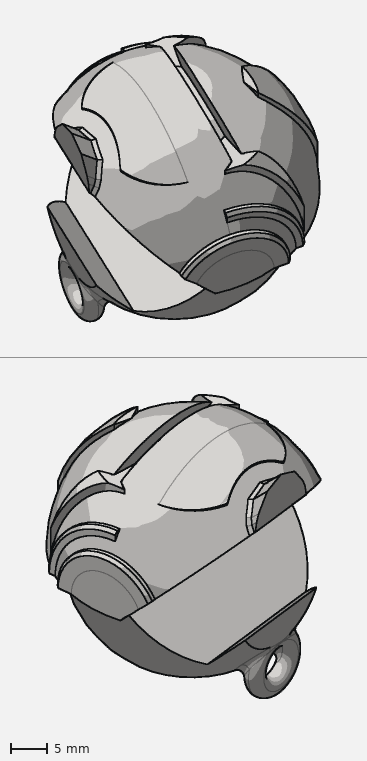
import cadquery as cq
import math

HELMET_RADIUS = 20.0
BALL_RADIUS = 18.0
EAR_RADIUS = 21.0
CREST_RADIUS = 20.75
FRONT_PLANE_Y = -15.53

BAND_FLOOR_Z = 16.0
BAND_REAR_MIDDLE = (0, 3.96)
BAND_REAR_END = (10.87, 5.06)
BAND_FRONT_MIDDLE = (0, 2.26)
BAND_FRONT_END = (11.52, 3.32)
EAR_FRONT_TIP = (12.74, 1.7)
EAR_OUTER_MIDDLE = (13.55, 7.8)
EAR_INNER_MIDDLE = (12.82, 9.85)
EAR_REAR_TIP_Y = 12.3
EAR_REAR_TIP_RADIUS = 19.95

CREST_TOP_Z = 17.0
CREST_TIP_Y = 10.55
CREST_SHOULDER = (2.64, 11.5)
CREST_SIDE_MIDDLE = (3.87, 14.26)
CREST_REAR_HALF_WIDTH = 5.2

DISC_RADIUS = 8.9
DISC_FACE_X = 19.03
RING_RADIUS = 12.0
RING_FACE_X = 17.04
RIM_CHAMFER = 0.5

VISOR_RADIUS = 19.9
VISOR_SHIFT_Y = -0.6
VISOR_BASE_Z = 12.0
VISOR_REAR = (12.2, -1.5)
VISOR_SIDE_MIDDLE = (10.3, -7.8)
VISOR_CORNER = (6.2, -11.1)
VISOR_FRONT_MIDDLE = (0, -9.8)
VISOR_CORNER_FILLET = 0.6

LEAN_ANGLE = 45.0
SNOUT_RADIUS = 6.05
SNOUT_SIDES = 12
SNOUT_OFFSET = -3.57
SNOUT_START = 14.0
SNOUT_END = 28.0
SNOUT_CHAMFER = 0.5

MOUTH_WIDTH = 12.0
MOUTH_CORNER_Y = -2.85
MOUTH_CORNER_Z = -0.2

LOOP_TUBE_RADIUS = 1.5
LOOP_RING_RADIUS = 3.85
LOOP_BOTTOM_Z = -18.49
LOOP_CENTER_Y = FRONT_PLANE_Y + LOOP_TUBE_RADIUS
LOOP_FILLET = 1.0

OVERSIZE = 60.0


def mirrored(point):
    """The same plan point on the -X side."""
    return (-point[0], point[1])


def ball(radius):
    return cq.Workplane("XY").sphere(radius)


def upper_half(body):
    """Keep what lies above Z = 0."""
    limit = cq.Workplane("XY").box(OVERSIZE, OVERSIZE, OVERSIZE, centered=(True, True, False))
    return body.intersect(limit)


def band_outline(base_z):
    """Plan outline of the headband with an ear ridge at both ends."""
    rear_tip = (math.sqrt(EAR_REAR_TIP_RADIUS**2 - EAR_REAR_TIP_Y**2), EAR_REAR_TIP_Y)
    return (
        cq.Workplane("XY", origin=(0, 0, base_z))
        .moveTo(*mirrored(BAND_REAR_END))
        .threePointArc(BAND_REAR_MIDDLE, BAND_REAR_END)
        .threePointArc(EAR_INNER_MIDDLE, rear_tip)
        .threePointArc(EAR_OUTER_MIDDLE, EAR_FRONT_TIP)
        .lineTo(*BAND_FRONT_END)
        .threePointArc(BAND_FRONT_MIDDLE, mirrored(BAND_FRONT_END))
        .lineTo(*mirrored(EAR_FRONT_TIP))
        .threePointArc(mirrored(EAR_OUTER_MIDDLE), mirrored(rear_tip))
        .threePointArc(mirrored(EAR_INNER_MIDDLE), mirrored(BAND_REAR_END))
        .close()
    )


def crest():
    """Raised tapering crest running down the back of the helmet."""
    rear = (CREST_REAR_HALF_WIDTH, HELMET_RADIUS)
    prism = (
        cq.Workplane("XY")
        .moveTo(0, CREST_TIP_Y)
        .lineTo(*CREST_SHOULDER)
        .threePointArc(CREST_SIDE_MIDDLE, rear)
        .lineTo(*mirrored(rear))
        .threePointArc(mirrored(CREST_SIDE_MIDDLE), mirrored(CREST_SHOULDER))
        .close()
        .extrude(CREST_TOP_Z)
    )
    helmet_outline = cq.Workplane("XY").circle(HELMET_RADIUS).extrude(CREST_TOP_Z)
    return prism.intersect(helmet_outline).intersect(ball(CREST_RADIUS))


def side_disc(radius, face_x):
    """Disc through the head along X, chamfered at both flat faces."""
    return (
        cq.Workplane("YZ")
        .circle(radius)
        .extrude(face_x, both=True)
        .faces("<X or >X")
        .chamfer(RIM_CHAMFER)
    )


def quarter_ring():
    """Rear upper quarter of the ring disc."""
    quarter = cq.Workplane("XY").box(OVERSIZE, OVERSIZE, OVERSIZE, centered=(True, False, False))
    return side_disc(RING_RADIUS, RING_FACE_X).intersect(quarter)


def visor():
    """Forehead patch on a ball shifted forward, so its step fades out towards the rear."""
    prism = (
        cq.Workplane("XY", origin=(0, 0, VISOR_BASE_Z))
        .moveTo(*VISOR_REAR)
        .threePointArc(VISOR_SIDE_MIDDLE, VISOR_CORNER)
        .threePointArc(VISOR_FRONT_MIDDLE, mirrored(VISOR_CORNER))
        .threePointArc(mirrored(VISOR_SIDE_MIDDLE), mirrored(VISOR_REAR))
        .close()
        .extrude(OVERSIZE)
        .edges("|Z and <Y")
        .fillet(VISOR_CORNER_FILLET)
    )
    return prism.intersect(ball(VISOR_RADIUS).translate((0, VISOR_SHIFT_Y, 0)))


def helmet_with_snout():
    """Helmet hemisphere with the leaning snout, chamfered where they meet."""
    snout = (
        cq.Workplane("XY")
        .center(0, SNOUT_OFFSET)
        .polygon(SNOUT_SIDES, 2 * SNOUT_RADIUS)
        .extrude(SNOUT_END - SNOUT_START)
        .translate((0, 0, SNOUT_START))
        .rotate((0, 0, 0), (1, 0, 0), LEAN_ANGLE)
    )
    joint = cq.selectors.BoxSelector((-10, -22, 3), (10, -4, 18))
    return ball(HELMET_RADIUS).union(snout).edges(joint).chamfer(SNOUT_CHAMFER)


def ball_with_loop():
    """Inner ball with the hanging loop blended into it."""
    loop_center_z = LOOP_BOTTOM_Z + LOOP_RING_RADIUS + LOOP_TUBE_RADIUS
    loop = cq.Workplane("XY").add(
        cq.Solid.makeTorus(
            LOOP_RING_RADIUS,
            LOOP_TUBE_RADIUS,
            cq.Vector(0, LOOP_CENTER_Y, loop_center_z),
            cq.Vector(0, 1, 0),
        )
    )
    body = ball(BALL_RADIUS).union(loop).cut(front_trim())
    joint_right = cq.selectors.BoxSelector((0.5, -15.5, -17), (7, -10, -6))
    joint_left = cq.selectors.BoxSelector((-7, -15.5, -17), (-0.5, -10, -6))
    return body.edges(joint_right + joint_left).fillet(LOOP_FILLET)


def mouth():
    """Slot that opens forward and up between the snout and the chin."""
    return (
        cq.Workplane("XY")
        .box(OVERSIZE, MOUTH_WIDTH, OVERSIZE, centered=(True, False, False))
        .translate((0, -MOUTH_WIDTH, 0))
        .rotate((0, 0, 0), (1, 0, 0), LEAN_ANGLE)
        .translate((0, MOUTH_CORNER_Y, MOUTH_CORNER_Z))
    )


def front_trim():
    """Everything in front of the flat front face."""
    return (
        cq.Workplane("XY")
        .box(OVERSIZE, OVERSIZE, OVERSIZE)
        .translate((0, FRONT_PLANE_Y - OVERSIZE / 2, 0))
    )


ears = band_outline(0).extrude(BAND_FLOOR_Z).intersect(ball(EAR_RADIUS))
groove = band_outline(BAND_FLOOR_Z).extrude(OVERSIZE)

helmet = upper_half(helmet_with_snout()).union(visor()).cut(groove).union(ears)
helmet = helmet.union(crest())
for ear_part in (side_disc(DISC_RADIUS, DISC_FACE_X), quarter_ring()):
    helmet = helmet.union(upper_half(ear_part))

helmet = helmet.cut(front_trim())
result = helmet.union(ball_with_loop()).cut(mouth())